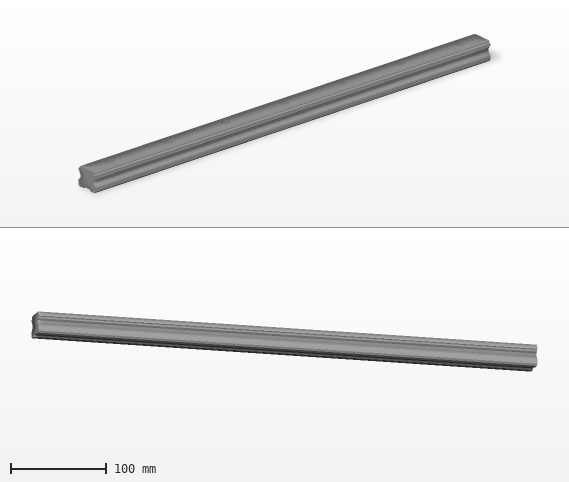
import cadquery as cq

length = 540.0
width = 28.0
height = 23.0
half_width = width / 2
top = height / 2
bottom = -height / 2

top_face_half_width = 11.5
top_bevel_width = 0.5
top_bevel_drop = 0.8
lip_upper_drop = 2.5
lip_lower_drop = 5.5
lower_groove_half_width = 12.5
lower_groove_drop = 7.5
ball_groove_depth = 1.0

neck_half_width = 10.0
neck_upper_drop = 9.0
neck_lower_drop = 12.5
shoulder_half_width = 13.5
shoulder_drop = neck_lower_drop + shoulder_half_width - neck_half_width

side_upper_drop = 17.0
bottom_bevel = 1.9
channel_half_width = 5.5
channel_side_slope = 0.8
channel_depth = 1.5

hole_count = 7
hole_pitch = 80.0
hole_diameter = 11.0
cap_recess = 0.25


def half_rail():
    """The +X half of the constant cross-section, extruded along Y."""
    section = (
        cq.Workplane("XZ")
        .moveTo(0, top)
        .lineTo(top_face_half_width, top)
        .lineTo(top_face_half_width + top_bevel_width, top - top_bevel_drop)
        .sagittaArc((half_width, top - lip_upper_drop), -ball_groove_depth)
        .lineTo(half_width, top - lip_lower_drop)
        .sagittaArc((lower_groove_half_width, top - lower_groove_drop), -ball_groove_depth)
        .lineTo(neck_half_width, top - neck_upper_drop)
        .lineTo(neck_half_width, top - neck_lower_drop)
        .lineTo(shoulder_half_width, top - shoulder_drop)
        .lineTo(half_width, top - side_upper_drop)
        .lineTo(half_width, bottom + bottom_bevel)
        .lineTo(half_width - bottom_bevel, bottom)
        .lineTo(channel_half_width, bottom)
        .lineTo(channel_half_width - channel_side_slope, bottom + channel_depth)
        .lineTo(0, bottom + channel_depth)
        .close()
    )
    return section.extrude(length / 2, both=True)


def rail_body():
    """Both halves of the rail, joined on the X = 0 plane."""
    half = half_rail()
    return half.union(half.mirror("YZ")).clean()


def cap_recesses():
    """Shallow round recesses, evenly spaced about the middle of the rail."""
    return (
        cq.Workplane("XY", origin=(0, 0, top))
        .rarray(5.5, hole_pitch, 1, hole_count)
        .circle(hole_diameter / 2)
        .extrude(-cap_recess)
    )


result = rail_body().cut(cap_recesses())